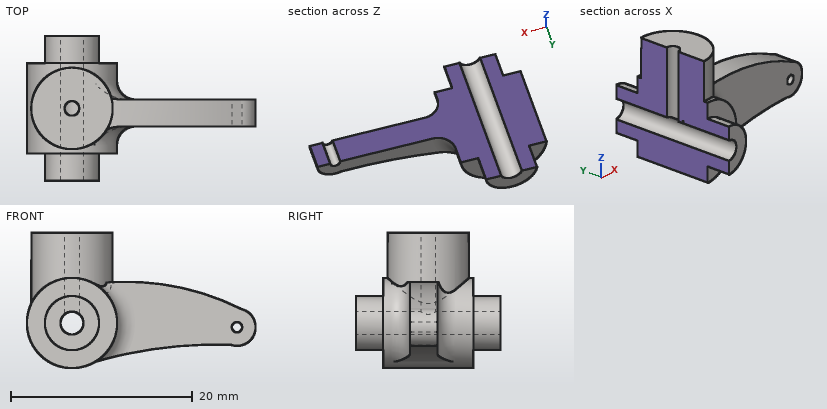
import cadquery as cq
import math

hub_diameter = 10.0
hub_length = hub_diameter
trunnion_diameter = 6.0
trunnion_length = 16.0
bore_diameter = 2.5

post_diameter = 9.0
post_top = hub_diameter
post_hole_diameter = 1.62

overall_length = 25.3
arm_thickness = 3.0
arm_offset = -0.5
tip_radius = 2.07
tip_hole_diameter = 1.11
tip_z = -0.45
root_radius = 2.0

arm_root_x = 1.77
upper_root_z = 4.25
upper_mid_x = 12.06
upper_mid_z = 3.92
upper_end_x = 18.71
lower_root_z = -4.53
lower_mid_x = 9.79
lower_mid_z = -2.78
lower_end_x = 17.53

hub_radius = hub_diameter / 2
tip_x = overall_length - hub_radius - tip_radius


def cylinder_along_y(diameter, length, x=0, y=0, z=0):
    """Cylinder parallel to Y, centred on the given point."""
    start = cq.Vector(x, y - length / 2, z)
    return cq.Workplane(cq.Solid.makeCylinder(diameter / 2, length, start, cq.Vector(0, 1, 0)))


def tip_circle_point(x, side):
    """Point on the rounded tip at the given X, above (+1) or below (-1) its centre."""
    return (x, tip_z + side * math.sqrt(tip_radius**2 - (x - tip_x) ** 2))


def arm_blank(thickness):
    """Arm outline extruded symmetrically about the arm's middle plane."""
    upper_end = tip_circle_point(upper_end_x, 1)
    lower_end = tip_circle_point(lower_end_x, -1)
    return (
        cq.Workplane("XZ", origin=(0, arm_offset, 0))
        .moveTo(arm_root_x, lower_root_z)
        .lineTo(arm_root_x, upper_root_z)
        .threePointArc((upper_mid_x, upper_mid_z), upper_end)
        .threePointArc((tip_x + tip_radius, tip_z), lower_end)
        .threePointArc((lower_mid_x, lower_mid_z), (arm_root_x, lower_root_z))
        .close()
        .extrude(thickness / 2, both=True)
    )


def root_flare():
    """Concave flare that blends both faces of the arm into the hub."""
    half = arm_thickness / 2
    outer = hub_radius + root_radius
    middle = root_radius * (1 - math.sqrt(0.5))
    profile = (
        cq.Workplane("XY", origin=(0, arm_offset, 0))
        .moveTo(trunnion_diameter / 2, -half - root_radius)
        .lineTo(hub_radius, -half - root_radius)
        .threePointArc((hub_radius + middle, -half - middle), (outer, -half))
        .lineTo(outer, half)
        .threePointArc((hub_radius + middle, half + middle), (hub_radius, half + root_radius))
        .lineTo(trunnion_diameter / 2, half + root_radius)
        .close()
    )
    flare = profile.revolve(360, (0, 0, 0), (0, 1, 0))
    return flare.intersect(arm_blank(arm_thickness + 2 * root_radius))


hub = cylinder_along_y(hub_diameter, hub_length)
trunnion = cylinder_along_y(trunnion_diameter, trunnion_length)
post = cq.Workplane("XY").circle(post_diameter / 2).extrude(post_top)
body = hub.union(trunnion).union(post).union(arm_blank(arm_thickness)).union(root_flare())

bore = cylinder_along_y(bore_diameter, trunnion_length)
post_hole = cq.Workplane("XY").circle(post_hole_diameter / 2).extrude(post_top)
tip_hole = cylinder_along_y(tip_hole_diameter, arm_thickness, tip_x, arm_offset, tip_z)

result = body.cut(bore).cut(post_hole).cut(tip_hole)